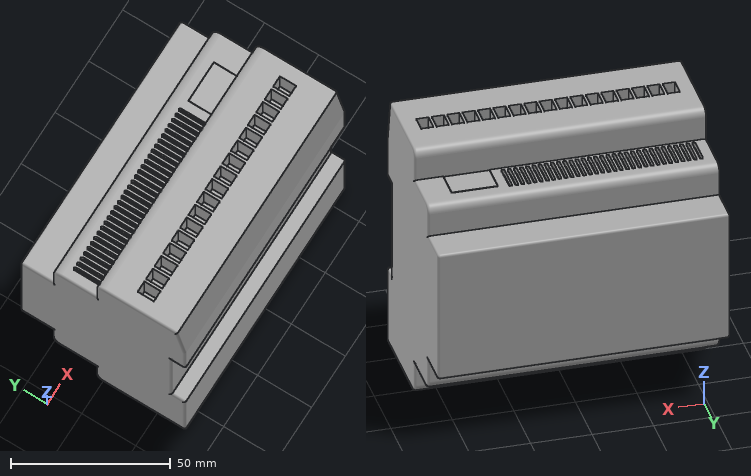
import cadquery as cq

width = 95.0
depth = 61.0
height = 90.0

tier_step = 11.0
lower_shoulder_depth = 33.0
upper_shoulder_depth = 49.0
shoulder_radius = 3.0
edge_radius = 0.95

slant_depth = 3.0
slant_height = 15.0
channel_depth = 5.0
channel_bottom = 27.0
channel_height = 34.0

terminal_count = 17
terminal_row_span = 80.1
terminal_width = 4.0
terminal_length = 6.0
terminal_centre_y = 18.0
terminal_hole_depth = 10.0

vent_count = 32
vent_row_span = 62.0
vent_width = 1.0
vent_length = 10.0
vent_row_centre_x = -11.9
vent_centre_y = 39.0
vent_depth = 2.0

window_width = 15.0
window_centre_x = 30.6
window_front_y = 42.9
window_depth = 0.2

vent_face_z = height - tier_step
half_width = width / 2


def housing():
    """Stepped profile extruded along X, with all round edges."""
    channel_top = channel_bottom + channel_height
    outline = [
        (0, 0),
        (lower_shoulder_depth, 0),
        (lower_shoulder_depth, tier_step),
        (upper_shoulder_depth, tier_step),
        (upper_shoulder_depth, 2 * tier_step),
        (depth, 2 * tier_step),
        (depth, height - 2 * tier_step),
        (upper_shoulder_depth, height - 2 * tier_step),
        (upper_shoulder_depth, vent_face_z),
        (lower_shoulder_depth, vent_face_z),
        (lower_shoulder_depth, height),
        (slant_depth, height),
        (0, height - slant_height),
        (0, channel_top),
        (channel_depth, channel_top),
        (channel_depth, channel_bottom),
        (0, channel_bottom),
    ]
    body = cq.Workplane("YZ").polyline(outline).close().extrude(half_width, both=True)

    shoulder_corners = [
        (lower_shoulder_depth, 0),
        (upper_shoulder_depth, tier_step),
        (upper_shoulder_depth, vent_face_z),
        (lower_shoulder_depth, height),
    ]
    for y, z in shoulder_corners:
        body = body.edges(cq.NearestToPointSelector((0, y, z))).fillet(shoulder_radius)

    return body.faces("<X or >X or >Y").edges().fillet(edge_radius)


def terminal_openings():
    terminal_pitch = terminal_row_span / (terminal_count - 1)
    return (
        cq.Workplane("XY", origin=(0, terminal_centre_y, height))
        .rarray(terminal_pitch, 0.95, terminal_count, 1)
        .rect(terminal_width, terminal_length)
        .extrude(-terminal_hole_depth)
    )


def vent_slots():
    vent_pitch = vent_row_span / (vent_count - 1)
    return (
        cq.Workplane("XY", origin=(vent_row_centre_x, vent_centre_y, vent_face_z))
        .rarray(vent_pitch, 0.95, vent_count, 1)
        .slot2D(vent_length, vent_width, 90)
        .extrude(-vent_depth)
    )


def window_recess():
    window_length = window_front_y - lower_shoulder_depth
    window_centre_y = lower_shoulder_depth + window_length / 2
    return (
        cq.Workplane("XY", origin=(window_centre_x, window_centre_y, vent_face_z))
        .rect(window_width, window_length)
        .extrude(-window_depth)
    )


result = housing().cut(terminal_openings()).cut(vent_slots()).cut(window_recess())